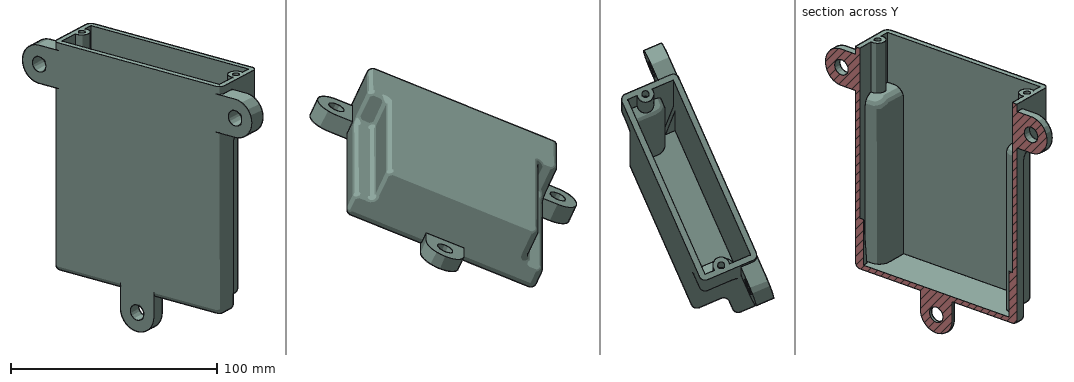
import cadquery as cq

overall_width = 137.0
overall_height = 140
body_width = 100.0
body_depth = 30.0
body_height = 120.0
wall = 3.0
edge_radius = 3.0

recess_inset = 10.0
recess_depth = 17.5
recess_below_rim = 30.0
recess_top = body_height - recess_below_rim

tab_width = 20.0
tab_radius = tab_width / 2
tab_hole_diameter = 8.0
side_tab_center_x = overall_width / 2 - tab_radius
side_tab_below_rim = 14
side_tab_center_z = body_height - side_tab_below_rim
side_tab_thickness = 9.4
bottom_tab_center_z = body_height - overall_height + tab_radius
bottom_tab_thickness = 7

boss_from_side = 3.9
boss_from_rear = 11.9
boss_center_x = body_width / 2 - boss_from_side
boss_center_y = body_depth - boss_from_rear
boss_radius = 4.0
screw_radius = 1.7
screw_depth = 14

rib_width = 2.2
rib_depth = 5.0
rib_height = 50.0

half_width = body_width / 2
inner_half_width = half_width - wall
SIDES = (-1, 1)


def block(x_range, y_range, z_range):
    """Axis-aligned box between pairs of coordinates given in any order."""
    x0, x1 = sorted(x_range)
    y0, y1 = sorted(y_range)
    z0, z1 = sorted(z_range)
    return cq.Workplane("XY").box(x1 - x0, y1 - y0, z1 - z0, centered=False).translate((x0, y0, z0))


def side_step(side, wall_offset):
    """Rear side step, grown into the body by wall_offset on its three inner faces."""
    inner_x = half_width - recess_inset - wall_offset
    front_y = body_depth - recess_depth - wall_offset
    return block((side * half_width, side * inner_x), (front_y, body_depth), (0, recess_top + wall_offset))


def make_shell():
    shell = block((-half_width, half_width), (0, body_depth), (0, body_height))
    for side in SIDES:
        shell = shell.cut(side_step(side, 0))
    rim_edges = shell.faces(">Z").edges().vals()
    outer_edges = [edge for edge in shell.edges().vals() if not any(edge.isSame(rim) for rim in rim_edges)]
    return shell.newObject(outer_edges).fillet(edge_radius)


def make_boss(side):
    return (
        cq.Workplane("XY", origin=(side * boss_center_x, boss_center_y, recess_top))
        .circle(boss_radius)
        .extrude(body_height - recess_top)
    )


def make_rib(side):
    """Triangular rib between the floor and the front wall, set against a side wall."""
    return (
        cq.Workplane("YZ", origin=(side * inner_half_width, 0, 0))
        .moveTo(wall, wall)
        .lineTo(wall + rib_depth, wall)
        .lineTo(wall, wall + rib_height)
        .close()
        .extrude(-side * rib_width)
    )


def make_cavity():
    """Inner space: the body inset by the wall, less everything that stands inside it."""
    cavity = block((-inner_half_width, inner_half_width), (wall, body_depth - wall), (wall, body_height))
    for side in SIDES:
        inward = "<X" if side > 0 else ">X"
        bulge = side_step(side, wall)
        bulge = bulge.edges(f"({inward} and <Y) or ({inward} and >Z) or (<Y and >Z)")
        bulge = bulge.fillet(edge_radius + wall)
        cavity = cavity.cut(bulge).cut(make_boss(side)).cut(make_rib(side))
    return cavity


def make_screw_hole(side):
    return (
        cq.Workplane("XY", origin=(side * boss_center_x, boss_center_y, body_height))
        .circle(screw_radius)
        .extrude(-screw_depth)
    )


def make_tab(center, inner_end, thickness):
    """Round-ended tab with a hole, from the hole centre to the inner end, rising from Y = 0."""
    (cx, cz), (ix, iz) = center, inner_end
    if cx == ix:
        x_range, z_range = (cx - tab_radius, cx + tab_radius), (cz, iz)
    else:
        x_range, z_range = (cx, ix), (cz - tab_radius, cz + tab_radius)
    round_end = cq.Workplane("XZ").center(cx, cz).circle(tab_radius).extrude(-thickness)
    hole = cq.Workplane("XZ").center(cx, cz).circle(tab_hole_diameter / 2).extrude(-thickness)
    return round_end.union(block(x_range, (0, thickness), z_range)).cut(hole)


housing = make_shell()
for side in SIDES:
    housing = housing.union(
        make_tab(
            (side * side_tab_center_x, side_tab_center_z),
            (side * (half_width - edge_radius), side_tab_center_z),
            side_tab_thickness,
        )
    )
housing = housing.union(make_tab((0, bottom_tab_center_z), (0, edge_radius), bottom_tab_thickness))
housing = housing.cut(make_cavity())
for side in SIDES:
    housing = housing.cut(make_screw_hole(side))

result = housing